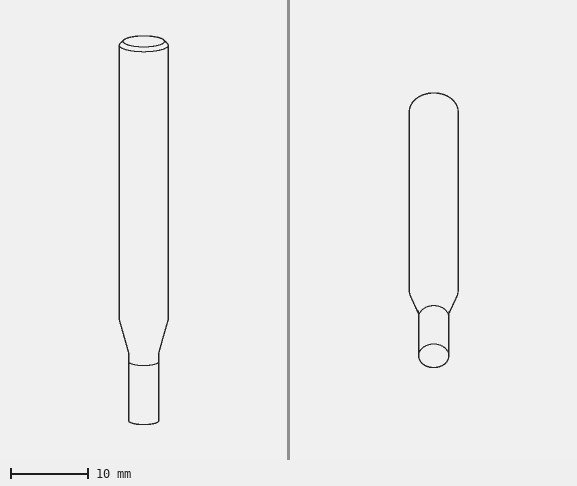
import cadquery as cq

total_length = 50.8

shank_diameter = 6.35
top_chamfer = 0.5

taper_length = 4.45
neck_diameter = 3.9
neck_length = 1.15

head_diameter = neck_diameter
head_length = 7.9

bottom_z = -total_length / 2
top_z = total_length / 2
neck_bottom_z = bottom_z + head_length
neck_top_z = neck_bottom_z + neck_length
shank_bottom_z = neck_top_z + taper_length


def make_shank():
    """Turned shank with a chamfered top, a conical taper and a short neck."""
    shank_radius = shank_diameter / 2
    neck_radius = neck_diameter / 2
    profile = [
        (0, neck_bottom_z),
        (neck_radius, neck_bottom_z),
        (neck_radius, neck_top_z),
        (shank_radius, shank_bottom_z),
        (shank_radius, top_z - top_chamfer),
        (shank_radius - top_chamfer, top_z),
        (0, top_z),
    ]
    return cq.Workplane("XZ").polyline(profile).close().revolve(360, (0, 0), (0, 1))


def make_head():
    """Plain cylindrical head that butts against the end of the neck."""
    return (
        cq.Workplane("XY")
        .workplane(offset=bottom_z)
        .circle(head_diameter / 2)
        .extrude(head_length)
    )


shank = make_shank()
head = make_head()

result = cq.Compound.makeCompound([shank.val(), head.val()])